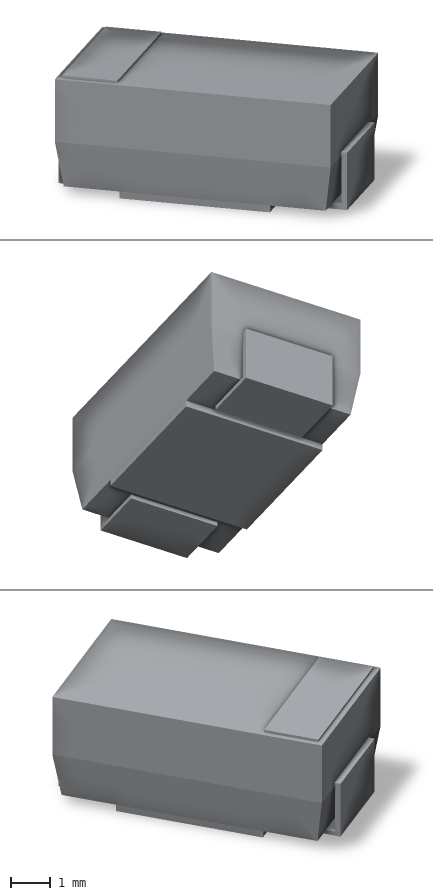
import cadquery as cq

OVERALL_LENGTH = 7.6
OVERALL_HEIGHT = 3.15

HOUSING_LENGTH = 7.26
HOUSING_WIDTH = 4.3
HOUSING_TOP = 3.08
PARTING_HEIGHT = 1.41
HOUSING_BOTTOM = 0.18
TAPER_INSET = 0.18
PAD_LENGTH = 3.95

LEAD_WIDTH = 2.49
LEAD_TOP = 1.53
LEAD_WALL = 0.15
FOOT_LENGTH = 1.595
FOOT_THICKNESS = 0.12

MARK_LENGTH = 1.46
MARK_MARGIN = 0.145

bottom_length = HOUSING_LENGTH - 2 * TAPER_INSET
bottom_width = HOUSING_WIDTH - 2 * TAPER_INSET
mark_width = HOUSING_WIDTH - 2 * MARK_MARGIN
mark_center_x = -HOUSING_LENGTH / 2 + MARK_MARGIN + MARK_LENGTH / 2


def make_housing():
    """Block with a tapered underside and a standoff pad across its bottom."""
    upper = (
        cq.Workplane("XY", origin=(0, 0, PARTING_HEIGHT))
        .rect(HOUSING_LENGTH, HOUSING_WIDTH)
        .extrude(HOUSING_TOP - PARTING_HEIGHT)
    )
    lower = (
        cq.Workplane("XY", origin=(0, 0, HOUSING_BOTTOM))
        .rect(bottom_length, bottom_width)
        .workplane(offset=PARTING_HEIGHT - HOUSING_BOTTOM)
        .rect(HOUSING_LENGTH, HOUSING_WIDTH)
        .loft(ruled=True)
    )
    pad = cq.Workplane("XY").rect(PAD_LENGTH, bottom_width).extrude(HOUSING_BOTTOM)
    return upper.union(lower).union(pad)


def make_lead(side):
    """Lead at the -X (side = -1) or +X (side = 1) end; its top lip meets the housing."""
    outer_x = side * OVERALL_LENGTH / 2
    inner_x = side * (OVERALL_LENGTH / 2 - LEAD_WALL)
    lip_x = side * HOUSING_LENGTH / 2
    toe_x = side * (OVERALL_LENGTH / 2 - FOOT_LENGTH)
    profile = [
        (outer_x, 0),
        (outer_x, LEAD_TOP),
        (lip_x, LEAD_TOP),
        (lip_x, PARTING_HEIGHT),
        (inner_x, PARTING_HEIGHT),
        (inner_x, FOOT_THICKNESS),
        (toe_x, FOOT_THICKNESS),
        (toe_x, 0),
    ]
    return cq.Workplane("XZ").polyline(profile).close().extrude(LEAD_WIDTH / 2, both=True)


def make_polarity_mark():
    """Thin raised plate near the -X end of the housing top."""
    return (
        cq.Workplane("XY", origin=(mark_center_x, 0, HOUSING_TOP))
        .rect(MARK_LENGTH, mark_width)
        .extrude(OVERALL_HEIGHT - HOUSING_TOP)
    )


housing = make_housing()
leads = [make_lead(side) for side in (-1, 1)]
polarity_mark = make_polarity_mark()

result = cq.Compound.makeCompound(
    [housing.val(), *[lead.val() for lead in leads], polarity_mark.val()]
)